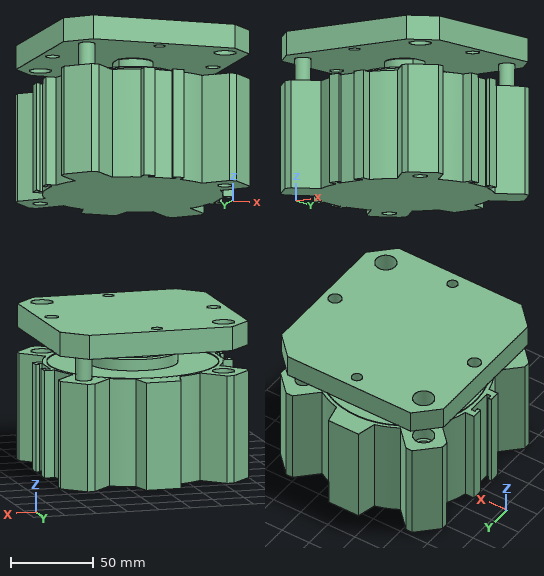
import cadquery as cq

width = 120.0
total_length = 126
total_height = 97.5

housing_height = 67.0
barrel_diameter = 110.1
corner_cut = 13.4
corner_block_width = 25.5
rail_width = 25.7
slot_floor = 55.0
slot_opening = 11.6
slot_inner_width = 17.0
lip_thickness = 2.3
tab_tip_width = 22.2
tab_base_width = 25.0
recess_diameter = 105.0
recess_depth = 0.5
boss_diameter = 55.0
boss_height = 7.4
boss_chamfer = 1.0
bolt_hole_diameter = 9.0
counterbore_diameter = 13.5
counterbore_depth = 8.5

plate_thickness = 15.0
plate_corner_cut = 14.5
corner_offset = 44.5
access_hole_diameter = 13.5
pin_diameter = 10.0
rod_diameter = 25.0
rod_chamfer = 0.5
rod_across_flats = 21.8
rod_flat_height = 5.4
plate_hole_offset = 51.5
side_hole_diameter = 8.5
end_hole_diameter = 6.7

half_width = width / 2
tab_tip_y = total_length - half_width
recess_floor = housing_height - recess_depth
boss_top = housing_height + boss_height
plate_bottom = total_height - plate_thickness
rail_angles = (0, 180, 270)
bolt_points = [(-corner_offset, corner_offset), (corner_offset, -corner_offset)]
pin_points = [(-corner_offset, -corner_offset), (corner_offset, corner_offset)]
side_hole_points = [(-plate_hole_offset, 0), (plate_hole_offset, 0)]
end_hole_points = [(0, -plate_hole_offset), (0, plate_hole_offset)]


def level(z):
    """Horizontal workplane at height z, centred on the axis."""
    return cq.Workplane("XY", origin=(0, 0, z))


def turned(shape, angle):
    """Shape rotated about the Z axis."""
    return shape.rotate((0, 0, 0), (0, 0, 1), angle)


def cylinders(points, diameter, bottom, top):
    """Upright cylinders at the given points."""
    return level(bottom).pushPoints(points).circle(diameter / 2).extrude(top - bottom)


def chamfered_cylinder(diameter, bottom, top, chamfer):
    """Cylinder on the axis with a chamfered top rim."""
    return level(bottom).circle(diameter / 2).extrude(top - bottom).faces(">Z").edges().chamfer(chamfer)


def cut_corner_square(bottom, height, corner):
    """Square prism of the full width with its four corners cut at 45 degrees."""
    return level(bottom).rect(width, width).extrude(height).edges("|Z").chamfer(corner)


def corner_blocks():
    """Two diagonal bars trimmed by the cut-corner square, forming four blocks."""
    bar = level(0).rect(2 * width, corner_block_width).extrude(housing_height)
    bars = turned(bar, 45).union(turned(bar, 135))
    return bars.intersect(cut_corner_square(0, housing_height, corner_cut))


def radial_bar(start_x, end_x, bar_width):
    """Full-height bar along +X between two distances from the axis."""
    middle_x = (start_x + end_x) / 2
    return level(0).center(middle_x, 0).rect(end_x - start_x, bar_width).extrude(housing_height)


def slot_cavity():
    """T-shaped slot space along +X, open at the rail face."""
    chamber = radial_bar(slot_floor, half_width - lip_thickness, slot_inner_width)
    opening = radial_bar(slot_floor, half_width, slot_opening)
    return chamber.union(opening)


def tab():
    """Tapered full-height tab on the +Y side, rooted inside the barrel."""
    root_y = recess_diameter / 2
    taper = (tab_base_width - tab_tip_width) / (tab_tip_y - half_width)
    half_root = (tab_tip_width + taper * (tab_tip_y - root_y)) / 2
    half_tip = tab_tip_width / 2
    outline = [(-half_root, root_y), (half_root, root_y), (half_tip, tab_tip_y), (-half_tip, tab_tip_y)]
    return level(0).polyline(outline).close().extrude(housing_height)


def bolt_holes():
    """Counterbored through holes in two opposite corner blocks."""
    holes = cylinders(bolt_points, bolt_hole_diameter, 0, housing_height)
    counterbore_floor = housing_height - counterbore_depth
    counterbores = cylinders(bolt_points, counterbore_diameter, counterbore_floor, housing_height)
    return holes.union(counterbores)


def make_housing():
    """Barrel with corner blocks, T-slot rails, tab and the top collar."""
    barrel = level(0).circle(barrel_diameter / 2).extrude(housing_height)
    body = barrel.union(corner_blocks()).union(tab())
    for angle in rail_angles:
        body = body.union(turned(radial_bar(0, half_width, rail_width), angle))
        body = body.cut(turned(slot_cavity(), angle))
    recess = level(recess_floor).circle(recess_diameter / 2).extrude(recess_depth)
    boss = chamfered_cylinder(boss_diameter, recess_floor, boss_top, boss_chamfer)
    return body.cut(recess).union(boss).cut(bolt_holes())


def rod():
    """Rod end between boss and plate, with two wrench flats facing along X."""
    flat_bottom = plate_bottom - rod_flat_height
    body = chamfered_cylinder(rod_diameter, boss_top, plate_bottom, rod_chamfer)
    around_flats = level(flat_bottom).rect(width, width).extrude(rod_flat_height)
    between_flats = level(flat_bottom).rect(rod_across_flats, width).extrude(rod_flat_height)
    return body.cut(around_flats.cut(between_flats))


def make_moving_plate():
    """Plate with its holes, guide pins and rod end."""
    plate = cut_corner_square(plate_bottom, plate_thickness, plate_corner_cut)
    for points, diameter in (
        (bolt_points, access_hole_diameter),
        (side_hole_points, side_hole_diameter),
        (end_hole_points, end_hole_diameter),
    ):
        plate = plate.cut(cylinders(points, diameter, plate_bottom, total_height))
    pins = cylinders(pin_points, pin_diameter, housing_height, plate_bottom)
    return plate.union(pins).union(rod())


housing = make_housing()
moving_plate = make_moving_plate()
result = cq.Compound.makeCompound([housing.val(), moving_plate.val()])